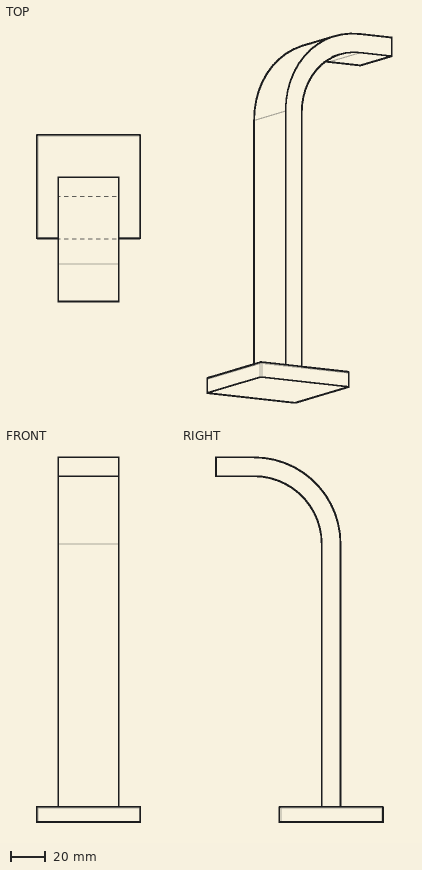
import cadquery as cq

plate_side = 60.0
plate_height = 9.0
plate_edge_round = 0.8

bar_width = 35.0
bar_thickness = 11.0
overall_height = 210.7
bend_outer_radius = 50.0
bend_inner_radius = bend_outer_radius - bar_thickness
overall_depth = 96.5
spout_tip_y = plate_side / 2 - overall_depth

post_back_y = bar_thickness / 2
post_front_y = -bar_thickness / 2
bend_center_y = post_back_y - bend_outer_radius
bend_center_z = overall_height - bend_outer_radius
spout_bottom_z = overall_height - bar_thickness


def make_plate():
    """Square plate with its upright and top edges rounded."""
    plate = cq.Workplane("XY").box(plate_side, plate_side, plate_height, centered=(True, True, False))
    return plate.edges("|Z or >Z").fillet(plate_edge_round)


def make_spout():
    """Bent bar standing on the plate, swept out across its width."""
    return (
        cq.Workplane("YZ")
        .moveTo(post_back_y, plate_height)
        .lineTo(post_back_y, bend_center_z)
        .radiusArc((bend_center_y, overall_height), -bend_outer_radius)
        .lineTo(spout_tip_y, overall_height)
        .lineTo(spout_tip_y, spout_bottom_z)
        .lineTo(bend_center_y, spout_bottom_z)
        .radiusArc((post_front_y, bend_center_z), bend_inner_radius)
        .lineTo(post_front_y, plate_height)
        .close()
        .extrude(bar_width / 2, both=True)
    )


plate = make_plate()
spout = make_spout()

result = cq.Compound.makeCompound([plate.val(), spout.val()])